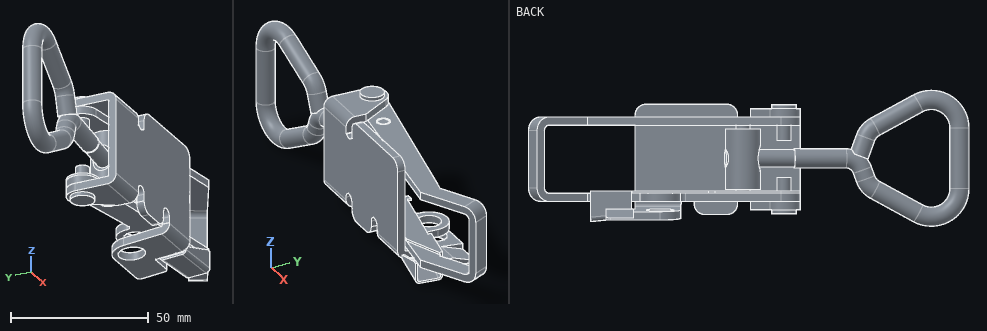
import cadquery as cq
import math

overall_length = 159.9
sheet = 3.0

pivot_height = 16.6
pivot_end_radius = 5.9
rivet_radius = 2.5
rivet_head_radius = 4.5
rivet_head_height = 1.5
rivet_tip_z = 6.7

flange_outer_z = 18.4
flange_end_x = 12.2
flange_shoulder_y = 8.2
bend_outer_radius = 3.5
bend_inner_radius = bend_outer_radius - sheet
plate_end_x = 54.0
plate_half_width = 20.1
plate_top_z = 20.0
plate_corner_radius = 4.0
notch_width = 4.6
notch_tip_z = 11.4
eye_notch_start_x = 32.6
eye_notch_tip_z = -11.7

eye_x = 45.0
base_eye_left_x = 37.4
base_eye_hole_y = 19.0
base_eye_hole_radius = 5.0
base_eye_top_y = 26.2
base_eye_foot_z = -19.8
base_eye_lean = 5.0
base_tab_end_x = 64.6
base_tab_bottom_y = 14.0
base_tab_corner_radius = 1.6
tab_bevel_start_x = 54.5
tab_bevel_start_y = 17.5
tab_bevel_angle = 14.0
lever_eye_y = 17.3
lever_eye_radius = 7.4
lever_eye_hole_radius = 4.5
lever_eye_foot_radius = 1.6

lever_outer_z = flange_outer_z - sheet
lever_inner_z = lever_outer_z - sheet
knee_top = (71.3, 8.6)
knee_bottom = (71.0, 0.8)
handle_angle = 28.0
handle_corner_radius = 5.0
handle_inner_radius = handle_corner_radius - sheet

trunnion_x = 14.9
trunnion_y = 13.8
trunnion_radius = 6.4
trunnion_half_length = 11.0
journal_radius = 2.5
journal_chamfer = 0.5
countersink_radius = 5.1

wire_radius = 3.5
thread_radius = 3.2
thread_start = 18.7
hook_tilt = 6.2
hook_z = 0.3
loop_length = 79.0
loop_height = 49.4
loop_corner_radius = 10.2
arm_angle = 28.5
arm_length = 17.9
elbow_radius = 7.4
neck_angle = 70.0
neck_bend_radius = 6.4
butt_length = 7.0

catch_sheet = 0.8
catch_bend_radius = 1.6
catch_top_gap = 0.5
catch_bottom_gap = 0.6
catch_inner_z = catch_sheet - lever_inner_z
wrap_top_start_x = 55.3
wrap_top_end_x = 70.2
wrap_bottom_start_x = 54.2
wrap_bottom_end_x = 69.4
wrap_start_z = -21.1
wrap_end_z = -22.7
lip_start_z = -18.2
lip_end_z = -14.2
lip_peak_x = 67.8
stop_start_x = 25.0
stop_end_x = 27.3
stop_top_y = 18.9

REACH = 96.0


def prism_xy(points, z_low, z_high):
    """Straight-sided outline in X and Y, raised from z_low to z_high."""
    return cq.Workplane("XY").workplane(offset=z_low).polyline(points).close().extrude(z_high - z_low)


def prism_xz(points):
    """Straight-sided outline in X and Z, running far to both sides along Y."""
    return cq.Workplane("XZ").polyline(points).close().extrude(REACH, both=True)


def cylinder_z(x, y, radius, z_low, z_high):
    return cq.Workplane("XY").workplane(offset=z_low).center(x, y).circle(radius).extrude(z_high - z_low)


def tangent_point(point, side):
    """Where the line from a point touches the round pivot end; side is 1 for its upper side, -1 for lower."""
    dx = point[0]
    dy = point[1] - pivot_height
    angle = math.atan2(dy, dx) + side * math.acos(pivot_end_radius / math.hypot(dx, dy))
    return (pivot_end_radius * math.cos(angle), pivot_height + pivot_end_radius * math.sin(angle))


def height_on_line(start, end, x):
    """Second coordinate at x on the straight line from start to end."""
    return start[1] + (end[1] - start[1]) * (x - start[0]) / (end[0] - start[0])


lever_top_tangent = tangent_point(knee_top, 1)
lever_bottom_tangent = tangent_point(knee_bottom, -1)


def lever_top_y(x):
    return height_on_line(lever_top_tangent, knee_top, x)


def lever_bottom_y(x):
    return height_on_line(lever_bottom_tangent, knee_bottom, x)


def lever_middle_y(x):
    return (lever_top_y(x) + lever_bottom_y(x)) / 2


def tapered_arm(z_low, z_high):
    """Leg of the lever from its round pivot end to the knee."""
    return (
        cq.Workplane("XY").workplane(offset=z_low)
        .moveTo(*knee_top)
        .lineTo(*lever_top_tangent)
        .threePointArc((-pivot_end_radius, pivot_height), lever_bottom_tangent)
        .lineTo(*knee_bottom)
        .close()
        .extrude(z_high - z_low)
    )


def base_channel():
    """U-shaped pivot end: back plate with two flanges."""
    length = flange_end_x + pivot_end_radius
    height = pivot_height + pivot_end_radius
    outer = cq.Workplane("XY").box(length, height, 2 * flange_outer_z, centered=(False, False, True))
    outer = outer.edges("|X and <Y").fillet(bend_outer_radius)
    inner = cq.Workplane("XY").box(length, height, 2 * lever_outer_z, centered=(False, False, True))
    inner = inner.edges("|X and <Y").fillet(bend_inner_radius).translate((0, sheet, 0))
    channel = outer.cut(inner).translate((-pivot_end_radius, 0, 0))

    shoulder = (flange_end_x, flange_shoulder_y)
    outline = (
        cq.Workplane("XY").workplane(offset=-flange_outer_z)
        .moveTo(-pivot_end_radius, 0)
        .lineTo(flange_end_x, 0)
        .lineTo(*shoulder)
        .lineTo(*tangent_point(shoulder, 1))
        .threePointArc((0, pivot_height + pivot_end_radius), (-pivot_end_radius, pivot_height))
        .close()
        .extrude(2 * flange_outer_z)
    )
    return channel.intersect(outline)


def base_plate():
    """Flat plate beyond the flanges, with its relief notches."""
    wide_start_x = flange_end_x + notch_width

    def slab(x_start, x_end, z_low, z_high):
        return cq.Workplane("XY").box(x_end - x_start, sheet, z_high - z_low, centered=False).translate(
            (x_start, 0, z_low)
        )

    upper = slab(wide_start_x, plate_end_x, 0, plate_top_z)
    upper = upper.edges("|Y and >Z").fillet(plate_corner_radius)
    lower = slab(wide_start_x, eye_notch_start_x, -plate_half_width, 0)
    lower = lower.edges("|Y and <Z").fillet(plate_corner_radius)
    middle = slab(flange_end_x, plate_end_x, eye_notch_tip_z - notch_width, lever_inner_z)
    plate = upper.union(lower).union(middle)

    def notch(x_start, z_tip, direction):
        """Round-ended notch that opens to the plate's upper (1) or lower (-1) edge."""
        radius = notch_width / 2
        x_center = x_start + radius
        z_center = z_tip + direction * radius
        cutter = cq.Workplane("XZ").center(x_center, z_center).circle(radius).extrude(REACH, both=True)
        mouth = cq.Workplane("XY").box(notch_width, 2 * REACH, plate_top_z)
        return cutter.union(mouth.translate((x_center, 0, z_center + direction * plate_top_z / 2)))

    plate = plate.cut(notch(flange_end_x, notch_tip_z, 1))
    plate = plate.cut(notch(flange_end_x, -notch_tip_z, -1))
    return plate.cut(notch(eye_notch_start_x, eye_notch_tip_z, -1))


def base_eye():
    """Leaning wall bent up from the plate, with the padlock hole and a bevelled tab."""
    lean = math.tan(math.radians(base_eye_lean))
    wall_width = sheet / math.cos(math.radians(base_eye_lean))
    start_z = eye_notch_tip_z - notch_width
    top_y = base_eye_top_y + sheet
    inner_foot_z = base_eye_foot_z + wall_width
    section = (
        cq.Workplane("YZ").workplane(offset=base_eye_left_x)
        .moveTo(0, start_z)
        .lineTo(0, base_eye_foot_z)
        .lineTo(top_y, base_eye_foot_z - lean * top_y)
        .lineTo(top_y, inner_foot_z - lean * top_y)
        .lineTo(sheet, inner_foot_z - lean * sheet)
        .lineTo(sheet, start_z)
        .close()
        .extrude(base_tab_end_x - base_eye_left_x)
    )
    section = section.edges(cq.NearestToPointSelector((eye_x, 0, base_eye_foot_z))).fillet(bend_outer_radius)
    section = section.edges(cq.NearestToPointSelector((eye_x, sheet, inner_foot_z))).fillet(bend_inner_radius)

    round_radius = eye_x - base_eye_left_x
    round_center_y = base_eye_top_y - round_radius
    diagonal = round_radius * math.sqrt(0.5)
    outline = (
        cq.Workplane("XY").workplane(offset=-REACH)
        .moveTo(base_eye_left_x, 0)
        .lineTo(plate_end_x, 0)
        .lineTo(plate_end_x, base_tab_bottom_y)
        .lineTo(base_tab_end_x, base_tab_bottom_y)
        .lineTo(base_tab_end_x, base_eye_top_y)
        .lineTo(eye_x, base_eye_top_y)
        .threePointArc((eye_x - diagonal, round_center_y + diagonal), (base_eye_left_x, round_center_y))
        .close()
        .extrude(REACH)
        .edges("|Z and >X").fillet(base_tab_corner_radius)
    )
    hole = cylinder_z(eye_x, base_eye_hole_y, base_eye_hole_radius, -REACH, 0)

    bevel_slope = math.tan(math.radians(base_eye_lean + tab_bevel_angle))
    bevel_start_z = inner_foot_z - lean * tab_bevel_start_y
    bevel_end_z = bevel_start_z - bevel_slope * (top_y - tab_bevel_start_y)
    bevel = (
        cq.Workplane("YZ").workplane(offset=tab_bevel_start_x)
        .polyline([(tab_bevel_start_y, bevel_start_z), (top_y, bevel_end_z), (top_y, bevel_start_z)])
        .close()
        .extrude(REACH)
    )
    return section.intersect(outline).cut(hole).cut(bevel)


def make_base():
    base = base_channel().union(base_plate()).union(base_eye())
    return base.cut(cylinder_z(0, pivot_height, rivet_radius, -REACH, REACH))


def make_lever():
    angle = math.radians(handle_angle)
    along = (math.cos(angle), math.sin(angle))
    hook_reach = loop_length * math.cos(math.radians(hook_tilt)) + wire_radius
    tip_x = overall_length - hook_reach + trunnion_x
    tip_length = (tip_x - knee_bottom[0]) / along[0]
    tip_bottom = (tip_x, knee_bottom[1] + tip_length * along[1])
    top_length = tip_length - sum((t - b) * a for t, b, a in zip(knee_top, knee_bottom, along))
    tip_top = (knee_top[0] + top_length * along[0], knee_top[1] + top_length * along[1])

    handle = prism_xy([knee_top, knee_bottom, tip_bottom, tip_top], -lever_outer_z, lever_outer_z)
    solid = tapered_arm(-lever_outer_z, lever_outer_z).union(handle)

    def bow(half_width, end_offset, corner_radius):
        """Block that ends with two rounded corners square to the handle's tip."""
        block = cq.Workplane("XY").box(2 * REACH, 2 * REACH, 2 * half_width)
        block = block.edges("|Y and >X").fillet(corner_radius)
        block = block.translate((-REACH - end_offset, 0, 0))
        block = block.rotate((0, 0, 0), (0, 0, 1), handle_angle)
        return block.translate((tip_bottom[0], tip_bottom[1], 0))

    lever = solid.intersect(bow(lever_outer_z, 0, handle_corner_radius))
    lever = lever.cut(bow(lever_inner_z, sheet, handle_inner_radius))

    eye_left_x = eye_x - lever_eye_radius
    eye_right_x = eye_x + lever_eye_radius
    post = prism_xy(
        [
            (eye_left_x, lever_middle_y(eye_left_x)),
            (eye_right_x, lever_middle_y(eye_right_x)),
            (eye_right_x, lever_eye_y),
            (eye_left_x, lever_eye_y),
        ],
        -lever_outer_z,
        -lever_inner_z,
    )
    ring = cylinder_z(eye_x, lever_eye_y, lever_eye_radius, -lever_outer_z, -lever_inner_z)
    lever = lever.union(post).union(ring)
    foot = (eye_left_x, lever_top_y(eye_left_x), -(lever_outer_z + lever_inner_z) / 2)
    lever = lever.edges(cq.NearestToPointSelector(foot)).fillet(lever_eye_foot_radius)
    lever = lever.cut(cylinder_z(eye_x, lever_eye_y, lever_eye_hole_radius, -lever_outer_z, 0))

    lever = lever.cut(cylinder_z(0, pivot_height, rivet_radius, -REACH, REACH))
    return lever.cut(cylinder_z(trunnion_x, trunnion_y, journal_radius, -REACH, REACH))


def make_rivet(side):
    """Rivet through one flange and one lever leg; side is 1 for the upper, -1 for the lower."""
    shank = cylinder_z(0, pivot_height, rivet_radius, rivet_tip_z, flange_outer_z)
    head_top_z = flange_outer_z + rivet_head_height
    rivet = shank.union(cylinder_z(0, pivot_height, rivet_head_radius, flange_outer_z, head_top_z))
    return rivet if side > 0 else rivet.mirror("XY")


def tilt_to_hook(shape):
    """Move a shape from the hook's own frame (origin on the trunnion, hook along -X) into place."""
    return shape.rotate((0, 0, 0), (0, 0, 1), hook_tilt).translate((trunnion_x, trunnion_y, hook_z))


def make_trunnion():
    journal = cylinder_z(trunnion_x, trunnion_y, journal_radius, -lever_outer_z, lever_outer_z)
    journal = journal.faces("<Z or >Z").chamfer(journal_chamfer)
    body = cylinder_z(trunnion_x, trunnion_y, trunnion_radius, -trunnion_half_length, trunnion_half_length)
    trunnion = body.union(journal)

    hole = cq.Workplane("YZ").circle(thread_radius).extrude(2 * trunnion_radius, both=True)
    countersink_depth = countersink_radius - thread_radius
    cone = cq.Workplane("YZ").workplane(offset=-trunnion_radius)
    cone = cone.circle(countersink_radius).workplane(offset=countersink_depth).circle(thread_radius).loft()
    return trunnion.cut(tilt_to_hook(hole)).cut(tilt_to_hook(cone))


def make_hook():
    arm = math.radians(arm_angle)
    neck = math.radians(neck_angle)
    bar_half = loop_height / 2 - wire_radius - loop_corner_radius
    corner_center = loop_length - loop_corner_radius
    corner_mid_angle = (math.pi / 2 + arm) / 2

    def on_corner(angle):
        """Point on the loop corner, turned by an angle from the end bar."""
        return (
            corner_center + loop_corner_radius * math.cos(angle),
            bar_half + loop_corner_radius * math.sin(angle),
        )

    corner_start = (loop_length, bar_half)
    corner_mid = on_corner(corner_mid_angle)
    corner_end = on_corner(math.pi / 2 + arm)
    elbow_start = (corner_end[0] - arm_length * math.cos(arm), corner_end[1] - arm_length * math.sin(arm))

    def on_elbow(direction):
        """Point on the elbow where the wire runs in a given direction."""
        return (
            elbow_start[0] - elbow_radius * (math.sin(direction) - math.sin(arm)),
            elbow_start[1] - elbow_radius * (math.cos(arm) - math.cos(direction)),
        )

    elbow_mid = on_elbow((arm + neck) / 2)
    elbow_end = on_elbow(neck)

    neck_start_height = neck_bend_radius * (1 - math.cos(neck))
    neck_start = (elbow_end[0] - (elbow_end[1] - neck_start_height) / math.tan(neck), neck_start_height)
    neck_end_distance = neck_start[0] - neck_bend_radius * math.sin(neck)
    neck_mid = (
        neck_end_distance + neck_bend_radius * math.sin(neck / 2),
        neck_bend_radius * (1 - math.cos(neck / 2)),
    )

    def upper(point):
        return (-point[0], point[1])

    def lower(point):
        return (-point[0], -point[1])

    path = (
        cq.Workplane("XZ")
        .moveTo(-thread_start, 0)
        .lineTo(-neck_end_distance, 0)
        .threePointArc(lower(neck_mid), lower(neck_start))
        .lineTo(*lower(elbow_end))
        .threePointArc(lower(elbow_mid), lower(elbow_start))
        .lineTo(*lower(corner_end))
        .threePointArc(lower(corner_mid), lower(corner_start))
        .lineTo(*upper(corner_start))
        .threePointArc(upper(corner_mid), upper(corner_end))
        .lineTo(*upper(elbow_start))
        .threePointArc(upper(elbow_mid), upper(elbow_end))
    )
    wire = cq.Workplane("YZ").workplane(offset=-thread_start).circle(wire_radius).sweep(path)
    butt = cq.Workplane(
        cq.Solid.makeCylinder(
            wire_radius,
            butt_length,
            cq.Vector(-elbow_end[0], 0, elbow_end[1]),
            cq.Vector(math.cos(neck), 0, -math.sin(neck)),
        )
    )
    thread = cq.Workplane("YZ").workplane(offset=-thread_start).circle(thread_radius)
    thread = thread.extrude(thread_start + trunnion_radius)
    return tilt_to_hook(wire.union(butt).union(thread))


def catch_wrap():
    """Sheet tube round the end of the lower lever leg, flared outwards and open along a lip."""

    def wrap_prism(wall, overrun):
        """Body of the tube, smaller by a wall on all four sides and longer by an overrun at both ends."""
        top_start = wrap_top_start_x - overrun
        top_end = wrap_top_end_x + overrun
        bottom_start = wrap_bottom_start_x - overrun
        bottom_end = wrap_bottom_end_x + overrun
        top_offset = catch_top_gap + catch_sheet - wall
        bottom_offset = catch_bottom_gap + catch_sheet - wall
        outline = prism_xy(
            [
                (top_start, lever_top_y(top_start) + top_offset),
                (top_end, lever_top_y(top_end) + top_offset),
                (bottom_end, lever_bottom_y(bottom_end) - bottom_offset),
                (bottom_start, lever_bottom_y(bottom_start) - bottom_offset),
            ],
            -REACH,
            0,
        )
        flare_start = (wrap_bottom_start_x, wrap_start_z + wall)
        flare_end = (wrap_top_end_x, wrap_end_z + wall)
        flare = prism_xz(
            [
                (bottom_start, catch_inner_z - wall),
                (bottom_start, height_on_line(flare_start, flare_end, bottom_start)),
                (top_end, height_on_line(flare_start, flare_end, top_end)),
                (top_end, catch_inner_z - wall),
            ]
        )
        body = outline.intersect(flare)
        return body.faces("<Z").edges("<Y or >Y").fillet(catch_bend_radius - wall)

    overrun = 2 * catch_sheet
    tube = wrap_prism(0, 0).cut(wrap_prism(catch_sheet, overrun))

    opening = prism_xz(
        [
            (wrap_bottom_start_x, 0),
            (wrap_bottom_start_x, lip_start_z),
            (lip_peak_x, lip_end_z),
            (wrap_top_end_x, lip_end_z),
            (wrap_top_end_x, 0),
        ]
    )
    lip_side = prism_xy(
        [
            (wrap_bottom_start_x, lever_bottom_y(wrap_bottom_start_x)),
            (wrap_top_end_x, lever_bottom_y(wrap_top_end_x)),
            (wrap_top_end_x, -REACH),
            (wrap_bottom_start_x, -REACH),
        ],
        -REACH,
        0,
    )
    return tube.cut(opening.intersect(lip_side))


def make_catch():
    leg = tapered_arm(-lever_inner_z, catch_inner_z)
    stop = prism_xy(
        [
            (stop_start_x, lever_middle_y(stop_start_x)),
            (stop_end_x, lever_middle_y(stop_end_x)),
            (stop_end_x, stop_top_y),
            (stop_start_x, stop_top_y),
        ],
        -lever_inner_z,
        catch_inner_z,
    )
    catch = leg.union(stop).union(catch_wrap())

    taper = prism_xy(
        [
            (wrap_top_start_x, lever_bottom_y(wrap_top_start_x)),
            (wrap_top_end_x, lever_top_y(wrap_top_end_x)),
            (REACH, lever_top_y(wrap_top_end_x)),
            (REACH, -REACH),
            (wrap_top_start_x, -REACH),
        ],
        -lever_inner_z,
        0,
    )
    catch = catch.cut(taper)
    catch = catch.cut(cylinder_z(0, pivot_height, rivet_radius, -REACH, REACH))
    return catch.cut(cylinder_z(trunnion_x, trunnion_y, journal_radius, -REACH, REACH))


base = make_base()
lever = make_lever()
rivets = [make_rivet(side) for side in (1, -1)]
trunnion = make_trunnion()
hook = make_hook()
catch = make_catch()

result = cq.Compound.makeCompound(
    [
        base.solids().val(),
        lever.solids().val(),
        *[rivet.solids().val() for rivet in rivets],
        trunnion.solids().val(),
        hook.solids().val(),
        catch.solids().val(),
    ]
)